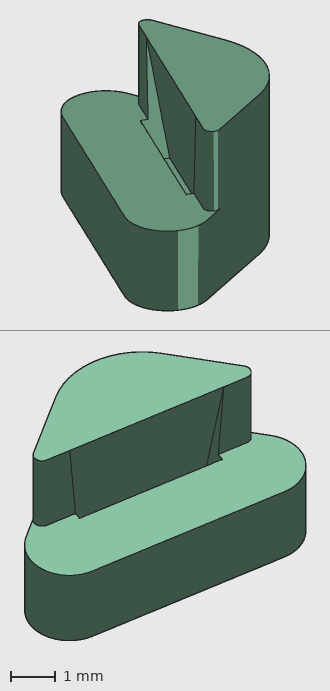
import cadquery as cq
import math

length = 6.98
depth = 3.99
height = 4.0
base_height = height / 2

corner_radius = 1.0
crown_radius = 1.995

block_front_y = 1.795
block_edge_radius = 0.2

recess_top_width = 4.0
recess_side_slope = 0.072
recess_back_slope = 0.16
recess_front_slope = 0.32
recess_lip_y = 1.61
recess_depth = 3.0


def base_outline():
    """Two corner arcs and a crown arc joined by their common tangents."""
    corner_x = length / 2 - corner_radius
    corner_y = corner_radius
    crown_y = depth - crown_radius

    centre_distance = math.hypot(corner_x, corner_y - crown_y)
    centre_angle = math.atan2(corner_y - crown_y, corner_x)
    flank = centre_angle + math.acos((crown_radius - corner_radius) / centre_distance)

    crown_end = (crown_radius * math.cos(flank), crown_y + crown_radius * math.sin(flank))
    corner_end = (
        corner_x + corner_radius * math.cos(flank),
        corner_y + corner_radius * math.sin(flank),
    )
    arc_middle = (flank - math.pi / 2) / 2
    corner_middle = (
        corner_x + corner_radius * math.cos(arc_middle),
        corner_y + corner_radius * math.sin(arc_middle),
    )
    return (
        cq.Workplane("XY")
        .moveTo(-corner_x, 0)
        .lineTo(corner_x, 0)
        .threePointArc(corner_middle, corner_end)
        .lineTo(*crown_end)
        .threePointArc((0, depth), (-crown_end[0], crown_end[1]))
        .lineTo(-corner_end[0], corner_end[1])
        .threePointArc((-corner_middle[0], corner_middle[1]), (-corner_x, 0))
        .close()
    )


def upper_block():
    """Outline behind the block front, full height, with its two sharp edges rounded."""
    rear_space = cq.Workplane("XY").box(length, depth, height, centered=(True, False, False))
    rear_space = rear_space.translate((0, block_front_y, 0))
    block = base_outline().extrude(height).intersect(rear_space)
    return block.edges("|Z and <Y").fillet(block_edge_radius)


def recess():
    """Leaning wedge: its sides close in and its front and back walls converge going down."""
    top_half = recess_top_width / 2
    bottom_half = top_half - recess_side_slope * recess_depth
    floor_z = height - recess_depth
    back_y = block_front_y + recess_back_slope * recess_depth
    front_top_y = recess_lip_y - recess_front_slope * (height - base_height)
    front_bottom_y = front_top_y + recess_front_slope * recess_depth

    side_profile = [
        (front_top_y, height),
        (block_front_y, height),
        (back_y, floor_z),
        (front_bottom_y, floor_z),
    ]
    front_profile = [
        (-top_half, height),
        (top_half, height),
        (bottom_half, floor_z),
        (-bottom_half, floor_z),
    ]
    wedge = cq.Workplane("YZ").polyline(side_profile).close().extrude(top_half, both=True)
    taper = cq.Workplane("XZ").polyline(front_profile).close().extrude(-depth)
    return wedge.intersect(taper)


base = base_outline().extrude(base_height)
result = base.union(upper_block()).cut(recess())